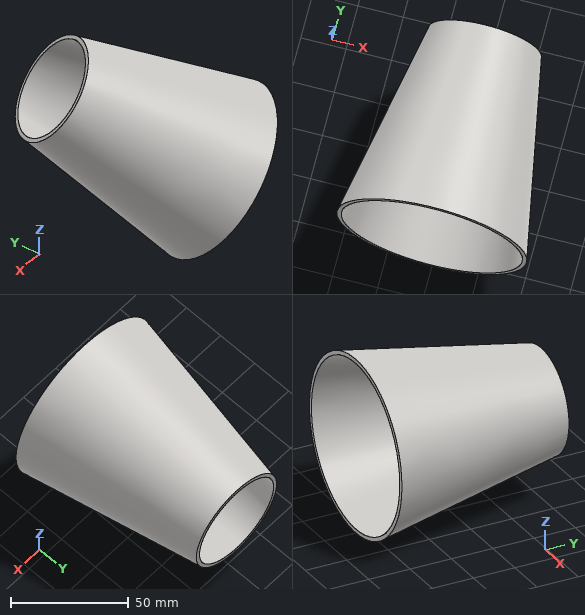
import cadquery as cq

length = 90.0
wide_diameter = 84.0
narrow_diameter = 50.0
wall = 2.0

wide_radius = wide_diameter / 2
narrow_radius = narrow_diameter / 2

wall_section = (
    cq.Workplane("XY")
    .moveTo(wide_radius - wall, 0)
    .lineTo(wide_radius, 0)
    .lineTo(narrow_radius, length)
    .lineTo(narrow_radius - wall, length)
    .close()
)

result = wall_section.revolve(360, (0, 0, 0), (0, 1, 0))